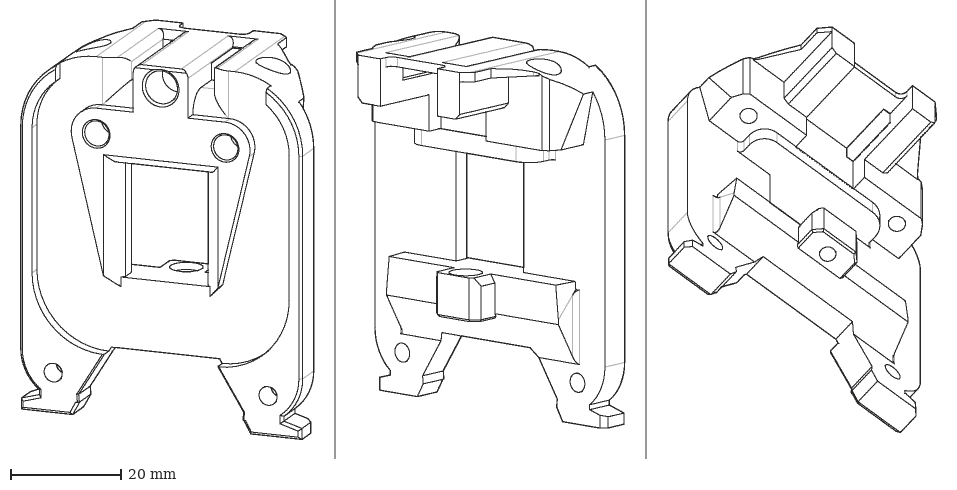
import cadquery as cq
import math

WIDTH = 54.95
HEIGHT = 67.5
DEPTH = 28.7
PLATE_T = 6.1
CORNER_R = 14.0
EDGE_CHAMFER = 0.55
LEG_CHAMFER = 0.3
HALF_W = WIDTH / 2
SHOULDER_Z = HEIGHT - CORNER_R

HIP_Z = 11.5
HIP_R = 9.45
ANKLE_X = 23.8
ANKLE_Z = HIP_Z - math.sqrt(HIP_R**2 - (ANKLE_X - HALF_W + HIP_R)**2)
NOTCH_Z = 3.1
TOE_X = 27.35
TOE_Z = 2.1
TOE_BACK_CHAMFER = 1.1
HEEL_X = 17.35
KNEE_X, KNEE_Z = 15.9, 2.55
INSTEP_X, INSTEP_Z = 16.05, 4.05
CROTCH_X, CROTCH_Z = 10.5, 12.95
LEG_HOLE_D = 3.5
LEG_HOLE_X, LEG_HOLE_Z = 20.9, 7.7

RECESS_DEPTH = 2.4
RECESS_HALF_W = 25.05
RECESS_BOTTOM = 12.15
RECESS_TOP_R = CORNER_R - (HALF_W - RECESS_HALF_W)
RECESS_OPEN_X = 20.5
PAD_R = 4.85
PAD_HOLE_X, PAD_HOLE_Z = 12.55, 53.65
PAD_HOLE_D = 4.7
PAD_HOLE_CHAMFER = 0.35
PAD_TOP = PAD_HOLE_Z + PAD_R
PAD_TIP_X, PAD_TIP_Z = 11.15, 27.0

WINDOW_HALF_W = 8.0
WINDOW_BOTTOM, WINDOW_TOP = 26.4, 48.25
BEVEL_TOP = 1.6
BEVEL_SIDE = PAD_TIP_X - WINDOW_HALF_W

RIB_HALF_W = 5.3
RIB_HOLE_D = 6.2
RIB_HOLE_Z = 63.65
RIB_HOLE_CHAMFER = 0.5
BLIND_DEPTH = 8.8
SLOT_OUTER_X = 8.25
SLOT_FLOOR = 62.6
SLOT_END_Y = 22.3
SLOT_ROUND = 1.5
FLARE_BACK = 6.5
FLARE_R = FLARE_BACK - RECESS_DEPTH

EAR_X = 24.6
EAR_BOTTOM = 52.0
EAR_BACK = 15.05
EAR_KNEE_X, EAR_KNEE_Y = 21.2, 14.25
EAR_SIDE_Y = 8.65
EAR_BACK_X = 20.2
EAR_LEAN = 2.2
BRIDGE_Z = 65.75
BRIDGE_X = 14.1
BRIDGE_WING_X, BRIDGE_WING_Y = 18.7, 15.8
BRIDGE_CORNER = 1.95
NOTCH_Y = 25.65
NOTCH_R = 1.5
CHANNEL_HALF_W = 6.8
CHANNEL_Y = 11.8
ARM_X = BRIDGE_X - BRIDGE_CORNER
ARM_BOTTOM = 58.7
ARM_CHAMFER = 1.0
EAR_HOLE_X, EAR_HOLE_Y = 17.5, 11.4
EAR_HOLE_D = 3.1
EAR_BORE_D = 6.3
EAR_BORE_Z = 63.45
BOSS_HALF_W = 14.85
BOSS_BACK = 12.0
BOSS_R = 3.6
ROOT_R = 0.9

SUPPORT_X = 20.5
SUPPORT_Y = 10.95
SUPPORT_TIP_Z = 19.2
SUPPORT_FOOT_Z = 11.15
SUPPORT_CREASE_Z = 20.05
SUPPORT_LEAN = 8.0
LUG_HALF_W = 5.3
LUG_TOP_HALF_W = 4.4
LUG_Y = 16.3
LUG_BOTTOM = 18.2
LUG_CHAMFER = 1.55
LUG_EDGE_CHAMFER = 0.4
LUG_HOLE_D = 3.0
LUG_BORE_D = 6.1
LUG_BORE_DEPTH = 1.35
LUG_HOLE_Y = 12.8

BEYOND = 0.7


def along_y(sketch, y0, y1):
    """Extrude an XZ outline from y0 to y1."""
    return sketch.extrude(-(y1 - y0)).translate((0, y0, 0))


def xz():
    return cq.Workplane("XZ")


def box(x0, x1, y0, y1, z0, z1):
    return cq.Workplane("XY").box(x1 - x0, y1 - y0, z1 - z0, centered=False).translate((x0, y0, z0))


def polygon_yz(points, half_width):
    return cq.Workplane("YZ").polyline(points).close().extrude(half_width, both=True)


def polygon_xy(points, z0, z1):
    return cq.Workplane("XY").workplane(offset=z0).polyline(points).close().extrude(z1 - z0)


def mirrored(points):
    """Close a right-hand chain of points with its reflection in X = 0."""
    return points + [(-x, y) for x, y in reversed(points)]


def both_sides(solid):
    return solid.union(solid.mirror("YZ"))


def hole_y(x, z, diameter, y0, y1):
    return along_y(xz().center(x, z).circle(diameter / 2), y0, y1)


def hole_z(x, y, diameter, z0, z1):
    return cq.Workplane("XY").workplane(offset=z0).center(x, y).circle(diameter / 2).extrude(z1 - z0)


def arc_point(center_u, center_v, radius, angle):
    """Point on a circle, with the angle in degrees from the first axis."""
    a = math.radians(angle)
    return center_u + radius * math.cos(a), center_v + radius * math.sin(a)


def blank(y0, y1):
    """Full frame outline with its two feet."""
    hip_center = HALF_W - HIP_R
    hip_angle = math.degrees(math.asin((ANKLE_Z - HIP_Z) / HIP_R)) / 2
    hip_mid = arc_point(hip_center, HIP_Z, HIP_R, hip_angle)
    shoulder_mid = arc_point(HALF_W - CORNER_R, SHOULDER_Z, CORNER_R, 45)
    half = (
        xz().moveTo(0, HEIGHT)
        .lineTo(HALF_W - CORNER_R, HEIGHT)
        .threePointArc(shoulder_mid, (HALF_W, SHOULDER_Z))
        .lineTo(HALF_W, HIP_Z)
        .threePointArc(hip_mid, (ANKLE_X, ANKLE_Z))
        .lineTo(ANKLE_X, NOTCH_Z)
        .lineTo(TOE_X, TOE_Z)
        .lineTo(TOE_X, 0)
        .lineTo(HEEL_X, 0)
        .lineTo(KNEE_X, KNEE_Z)
        .lineTo(INSTEP_X, INSTEP_Z)
        .lineTo(CROTCH_X, CROTCH_Z)
        .lineTo(0, CROTCH_Z)
    )
    return along_y(half.mirrorY(), y0, y1)


def pad():
    """Raised pad with rounded ears, tapering down beside the window."""
    reach = math.hypot(PAD_HOLE_X - PAD_TIP_X, PAD_HOLE_Z - PAD_TIP_Z)
    to_tip = math.atan2(PAD_TIP_Z - PAD_HOLE_Z, PAD_TIP_X - PAD_HOLE_X)
    tangent = math.degrees(to_tip + math.acos(PAD_R / reach))
    tangent_point = arc_point(PAD_HOLE_X, PAD_HOLE_Z, PAD_R, tangent)
    crown = arc_point(PAD_HOLE_X, PAD_HOLE_Z, PAD_R, (tangent + 90) / 2)
    half = (
        xz().moveTo(0, PAD_TOP)
        .lineTo(PAD_HOLE_X, PAD_TOP)
        .threePointArc(crown, tangent_point)
        .lineTo(PAD_TIP_X, PAD_TIP_Z)
        .lineTo(PAD_TIP_X - BEVEL_SIDE, PAD_TIP_Z - BEVEL_SIDE)
        .lineTo(0, PAD_TIP_Z - BEVEL_SIDE)
    )
    return along_y(half.mirrorY(), -BEYOND, RECESS_DEPTH)


def window(bottom):
    """Window tool: straight opening behind bevelled sides and top."""
    sides = [
        (PAD_TIP_X + BEYOND, -BEYOND),
        (WINDOW_HALF_W, BEVEL_SIDE),
        (WINDOW_HALF_W, PLATE_T),
    ]
    prism = polygon_xy(mirrored(sides), bottom, HEIGHT)
    roof = [
        (-BEYOND, bottom),
        (-BEYOND, WINDOW_TOP + BEVEL_TOP + BEYOND),
        (BEVEL_TOP, WINDOW_TOP),
        (PLATE_T, WINDOW_TOP),
        (PLATE_T, bottom),
    ]
    return prism.intersect(polygon_yz(roof, HALF_W))


def recess():
    """Front recess, open through the top edge."""
    top_center = RECESS_HALF_W - RECESS_TOP_R
    opening_z = SHOULDER_Z + math.sqrt(RECESS_TOP_R**2 - (RECESS_OPEN_X - top_center)**2)
    top_mid_angle = math.degrees(math.asin((opening_z - SHOULDER_Z) / RECESS_TOP_R)) / 2
    bottom_center = RECESS_HALF_W - CORNER_R
    half = (
        xz().moveTo(0, HEIGHT + BEYOND)
        .lineTo(RECESS_OPEN_X, HEIGHT + BEYOND)
        .lineTo(RECESS_OPEN_X, opening_z)
        .threePointArc(arc_point(top_center, SHOULDER_Z, RECESS_TOP_R, top_mid_angle),
                       (RECESS_HALF_W, SHOULDER_Z))
        .lineTo(RECESS_HALF_W, RECESS_BOTTOM + CORNER_R)
        .threePointArc(arc_point(bottom_center, RECESS_BOTTOM + CORNER_R, CORNER_R, -45),
                       (bottom_center, RECESS_BOTTOM))
        .lineTo(0, RECESS_BOTTOM)
    )
    return along_y(half.mirrorY(), -BEYOND, RECESS_DEPTH)


def chamfered_plate():
    """Frame plate with its front edges broken, more lightly on the inner sides of the legs."""
    plate = blank(0, PLATE_T)
    broken = plate.faces("<Y").chamfer(EDGE_CHAMFER)
    lightly_broken = plate.faces("<Y").chamfer(LEG_CHAMFER)
    leg_insides = box(-LEG_HOLE_X, LEG_HOLE_X, 0, PLATE_T, KNEE_Z, CROTCH_Z)
    return broken.union(lightly_broken.intersect(leg_insides))


def frame():
    """Flat frame with its feet, recessed around the standing pad and rib."""
    rib = box(-RIB_HALF_W, RIB_HALF_W, -BEYOND, RECESS_DEPTH, PAD_TOP - BEYOND, HEIGHT + BEYOND)
    standing = pad().cut(window(0)).union(rib)
    plate = chamfered_plate()
    toe = polygon_xy([(TOE_X, PLATE_T - TOE_BACK_CHAMFER), (TOE_X, PLATE_T),
                      (TOE_X - TOE_BACK_CHAMFER, PLATE_T)], 0, NOTCH_Z)
    leg_hole = hole_y(LEG_HOLE_X, LEG_HOLE_Z, LEG_HOLE_D, 0, PLATE_T)
    return plate.cut(recess().cut(standing)).cut(both_sides(toe.union(leg_hole)))


def pedestal(half_width, back, z0, z1):
    """Upright block behind the plate, with a root fillet along each side."""
    root_x = half_width + ROOT_R
    root_y = PLATE_T + ROOT_R
    return (
        cq.Workplane("XY").workplane(offset=z0)
        .moveTo(0, PLATE_T)
        .lineTo(root_x, PLATE_T)
        .threePointArc(arc_point(root_x, root_y, ROOT_R, 225), (half_width, root_y))
        .lineTo(half_width, back)
        .lineTo(0, back)
        .mirrorY()
        .extrude(z1 - z0)
    )


def shoulder():
    """Block behind the top of the plate, with leaning sides, and the boss below it."""
    plan = [(EAR_X, PLATE_T), (EAR_X, EAR_SIDE_Y), (EAR_KNEE_X, EAR_KNEE_Y), (EAR_BACK_X, EAR_BACK)]
    block = polygon_xy(mirrored(plan), EAR_BOTTOM, HEIGHT)
    corner_rise = math.sqrt(CORNER_R**2 - (EAR_X - HALF_W + CORNER_R)**2)
    lean = [(EAR_X - EAR_LEAN, EAR_BOTTOM), (EAR_X, SHOULDER_Z + corner_rise), (EAR_X, HEIGHT)]
    block = block.intersect(along_y(xz().polyline(mirrored(lean)).close(), 0, DEPTH))
    boss = pedestal(BOSS_HALF_W, BOSS_BACK, WINDOW_TOP, EAR_BOTTOM)
    boss = boss.edges("|Z and >Y").fillet(BOSS_R)
    channel = box(-CHANNEL_HALF_W, CHANNEL_HALF_W, CHANNEL_Y, DEPTH, EAR_BOTTOM, BRIDGE_Z)
    return block.cut(channel).union(boss)


def bridge():
    """Thin top sheet reaching back, carried by an arm on each side of the channel."""
    plan = [
        (EAR_BACK_X, PLATE_T),
        (EAR_BACK_X, EAR_KNEE_Y),
        (BRIDGE_WING_X, BRIDGE_WING_Y),
        (BRIDGE_X, SLOT_END_Y),
        (BRIDGE_X, DEPTH - BRIDGE_CORNER),
        (ARM_X, DEPTH),
    ]
    sheet = polygon_xy(mirrored(plan), BRIDGE_Z, HEIGHT)
    notch = box(-CHANNEL_HALF_W, CHANNEL_HALF_W, NOTCH_Y, DEPTH + BEYOND, BRIDGE_Z, HEIGHT)
    notch = notch.edges("|Z and <Y").fillet(NOTCH_R)
    arm = box(CHANNEL_HALF_W, ARM_X, CHANNEL_Y, DEPTH, ARM_BOTTOM, BRIDGE_Z)
    arm = arm.edges("|Y and >X and <Z").chamfer(ARM_CHAMFER)
    return sheet.cut(notch).union(both_sides(arm))


def support_lean():
    """Cutting tool above the diagonal crease on the right-hand side of the shelf."""
    tilt = math.radians(SUPPORT_LEAN)
    up_and_back = math.sin(tilt) * math.sqrt(0.5)
    crease = cq.Plane(
        origin=(SUPPORT_X, SUPPORT_Y, SUPPORT_CREASE_Z),
        xDir=(0, 1, -1),
        normal=(math.cos(tilt), up_and_back, up_and_back),
    )
    reach = 2 * SUPPORT_X
    above = polygon_yz([(PLATE_T, SUPPORT_CREASE_Z + SUPPORT_Y - PLATE_T), (SUPPORT_Y, SUPPORT_CREASE_Z),
                        (SUPPORT_Y, WINDOW_BOTTOM), (PLATE_T, WINDOW_BOTTOM)], HALF_W)
    return cq.Workplane(crease).rect(reach, reach).extrude(ROOT_R + BEYOND).intersect(above)


def support():
    """Shelf under the window with a sloping underside and a drilled lug."""
    profile = [
        (PLATE_T, WINDOW_BOTTOM),
        (SUPPORT_Y, WINDOW_BOTTOM),
        (SUPPORT_Y, SUPPORT_TIP_Z),
        (PLATE_T, SUPPORT_FOOT_Z),
    ]
    plan = pedestal(SUPPORT_X, SUPPORT_Y, 0, WINDOW_BOTTOM)
    shelf = polygon_yz(profile, HALF_W).intersect(plan).cut(both_sides(support_lean()))
    lug = box(-LUG_HALF_W, LUG_HALF_W, PLATE_T, LUG_Y, LUG_BOTTOM, WINDOW_BOTTOM)
    lug = lug.edges("|Z and >Y").chamfer(LUG_CHAMFER)
    lug = lug.faces("<Z").edges("not <Y").chamfer(LUG_EDGE_CHAMFER)
    section = [(LUG_HALF_W, LUG_BOTTOM), (LUG_HALF_W, WINDOW_BOTTOM - LUG_CHAMFER),
               (LUG_TOP_HALF_W, WINDOW_BOTTOM)]
    lug = lug.intersect(along_y(xz().polyline(mirrored(section)).close(), 0, DEPTH))
    hole = hole_z(0, LUG_HOLE_Y, LUG_HOLE_D, 0, WINDOW_BOTTOM)
    hole = hole.union(hole_z(0, LUG_HOLE_Y, LUG_BORE_D, WINDOW_BOTTOM - LUG_BORE_DEPTH, WINDOW_BOTTOM))
    return shelf.union(lug).cut(hole)


def strap_slot():
    """Right-hand slot tool: rounded upper edges and a mouth flaring out at the front."""
    mouth_x = SLOT_OUTER_X + FLARE_R
    mouth_z = SLOT_FLOOR - FLARE_R
    plan = (
        cq.Workplane("XY")
        .moveTo(RIB_HALF_W, RECESS_DEPTH)
        .lineTo(mouth_x, RECESS_DEPTH)
        .threePointArc(arc_point(mouth_x, FLARE_BACK, FLARE_R, 225), (SLOT_OUTER_X, FLARE_BACK))
        .lineTo(SLOT_OUTER_X, SLOT_END_Y)
        .lineTo(RIB_HALF_W, SLOT_END_Y)
        .close()
        .extrude(HEIGHT)
    )
    side = (
        cq.Workplane("YZ")
        .moveTo(RECESS_DEPTH, mouth_z)
        .threePointArc(arc_point(FLARE_BACK, mouth_z, FLARE_R, 135), (FLARE_BACK, SLOT_FLOOR))
        .lineTo(SLOT_END_Y, SLOT_FLOOR)
        .lineTo(SLOT_END_Y, HEIGHT)
        .lineTo(RECESS_DEPTH, HEIGHT)
        .close()
        .extrude(HALF_W)
    )
    round_z = HEIGHT - SLOT_ROUND
    inner = RIB_HALF_W - SLOT_ROUND
    outer = SLOT_OUTER_X + SLOT_ROUND
    rounding = along_y(
        xz().moveTo(inner, HEIGHT)
        .threePointArc(arc_point(inner, round_z, SLOT_ROUND, 45), (RIB_HALF_W, round_z))
        .lineTo(SLOT_OUTER_X, round_z)
        .threePointArc(arc_point(outer, round_z, SLOT_ROUND, 135), (outer, HEIGHT))
        .close(), 0, DEPTH)
    ramp = polygon_yz([(0, round_z), (SLOT_END_Y, round_z), (SLOT_END_Y + SLOT_ROUND, HEIGHT), (0, HEIGHT)],
                      HALF_W)
    return plan.intersect(side).union(rounding.intersect(ramp))


def blind_hole(x, z, diameter, chamfer):
    mouth = cq.Solid.makeCone(diameter / 2 + chamfer, diameter / 2, chamfer,
                              pnt=cq.Vector(x, 0, z), dir=cq.Vector(0, 1, 0))
    return hole_y(x, z, diameter, 0, BLIND_DEPTH).union(cq.Workplane(mouth))


def ear_hole():
    bore = hole_z(EAR_HOLE_X, EAR_HOLE_Y, EAR_BORE_D, EAR_BORE_Z, HEIGHT)
    return bore.union(hole_z(EAR_HOLE_X, EAR_HOLE_Y, EAR_HOLE_D, WINDOW_TOP, HEIGHT))


rear = shoulder().union(bridge()).union(support()).intersect(blank(0, DEPTH))
result = (
    frame()
    .union(rear)
    .cut(window(WINDOW_BOTTOM))
    .cut(both_sides(strap_slot()))
    .cut(both_sides(ear_hole()))
    .cut(both_sides(blind_hole(PAD_HOLE_X, PAD_HOLE_Z, PAD_HOLE_D, PAD_HOLE_CHAMFER)))
    .cut(blind_hole(0, RIB_HOLE_Z, RIB_HOLE_D, RIB_HOLE_CHAMFER))
)